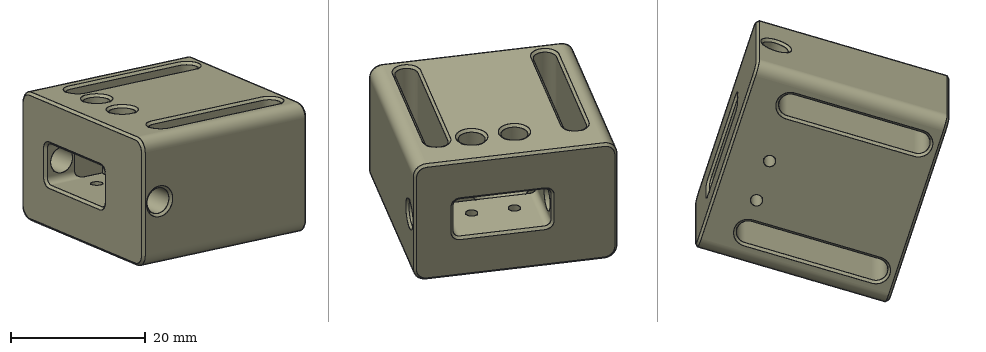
import cadquery as cq

WIDTH = 31.0
DEPTH = 30.0
HEIGHT = 20.0
EDGE_RADIUS = 1.98
CHAMFER = 0.4
FRONT = -DEPTH / 2

SLOT_WIDTH = 3.5
SLOT_LENGTH = 23.4
SLOT_OFFSET_X = 10.55
SLOT_CENTER_Y = FRONT + 16.7

POCKET_WIDTH = 14.9
POCKET_HEIGHT = 6.45
POCKET_DEPTH = 10.0
POCKET_CENTER_X = -1.98
POCKET_RADIUS = 1.02
BORE_DIAMETER = 10.08

SCREW_DIAMETER = 1.8
COUNTERBORE_DIAMETER = 4.0
COUNTERBORE_DEPTH = 4.95
SCREW_SPACING = 6.5
SCREW_Y = FRONT + 6.42

CROSS_DIAMETER = 4.0
CROSS_Y = FRONT + 3.0


def make_block():
    block = cq.Workplane("XY").box(WIDTH, DEPTH, HEIGHT).edges("|Y").fillet(EDGE_RADIUS)
    return block.faces("<Y or >Y").edges().chamfer(CHAMFER)


def cylinder(plane, diameter, length):
    return plane.circle(diameter / 2).extrude(length)


def chamfered_cylinder(plane, diameter, length):
    """Cylindrical cutter that flares at its starting face to chamfer the rim."""
    flare = plane.circle(diameter / 2 + CHAMFER).extrude(CHAMFER, taper=45)
    return cylinder(plane, diameter, length).union(flare)


def slot_cutter(x):
    plane = cq.Workplane("XY", origin=(x, SLOT_CENTER_Y, -HEIGHT / 2))
    slot = plane.slot2D(SLOT_LENGTH, SLOT_WIDTH, 90).extrude(HEIGHT)
    flare_length = SLOT_LENGTH + 2 * CHAMFER
    flare_width = SLOT_WIDTH + 2 * CHAMFER
    flare = plane.slot2D(flare_length, flare_width, 90).extrude(CHAMFER, taper=45)
    return slot.union(flare).union(flare.mirror("XY"))


def pocket_cutter():
    plane = cq.Workplane(cq.Plane((POCKET_CENTER_X, FRONT, 0), (1, 0, 0), (0, 1, 0)))
    outline = cq.Sketch().rect(POCKET_WIDTH, POCKET_HEIGHT).vertices().fillet(POCKET_RADIUS)
    rim = (
        cq.Sketch()
        .rect(POCKET_WIDTH + 2 * CHAMFER, POCKET_HEIGHT + 2 * CHAMFER)
        .vertices()
        .fillet(POCKET_RADIUS + CHAMFER)
    )
    pocket = plane.placeSketch(outline).extrude(POCKET_DEPTH)
    return pocket.union(plane.placeSketch(rim).extrude(CHAMFER, taper=45))


def bore_cutter():
    plane = cq.Workplane("XZ", origin=(0, DEPTH / 2, 0))
    return cylinder(plane, BORE_DIAMETER, DEPTH - POCKET_DEPTH)


def screw_cutter(x):
    plane = cq.Workplane(cq.Plane((x, SCREW_Y, HEIGHT / 2), (1, 0, 0), (0, 0, -1)))
    counterbore = chamfered_cylinder(plane, COUNTERBORE_DIAMETER, COUNTERBORE_DEPTH)
    return counterbore.union(cylinder(plane, SCREW_DIAMETER, HEIGHT))


def cross_cutter():
    plane = cq.Workplane("YZ", origin=(-WIDTH / 2, CROSS_Y, 0))
    half = chamfered_cylinder(plane, CROSS_DIAMETER, WIDTH / 2)
    return half.union(half.mirror("YZ"))


result = make_block().cut(pocket_cutter()).cut(bore_cutter()).cut(cross_cutter())
for side in (-1, 1):
    result = result.cut(slot_cutter(side * SLOT_OFFSET_X))
    result = result.cut(screw_cutter(POCKET_CENTER_X + side * SCREW_SPACING / 2))